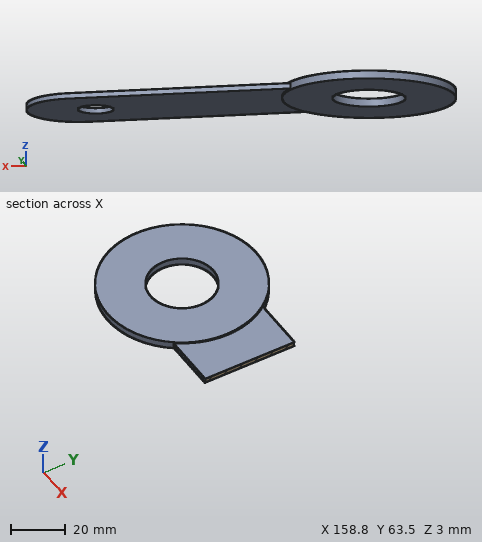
import cadquery as cq

total_length = 158.8
disc_diameter = 63.5
disc_thickness = 3.0
bore_diameter = 26.7

arm_width = 38.1
arm_thickness = 2.0
arm_hole_diameter = 13.0
arm_hole_to_tip = 25.4

tip_x = total_length - disc_diameter / 2
arm_end_centre_x = tip_x - arm_width / 2
arm_hole_x = tip_x - arm_hole_to_tip


def centred_cylinder(diameter, height, x=0.0):
    """Upright cylinder centred on the mid-plane Z = 0."""
    return cq.Workplane("XY").center(x, 0).circle(diameter / 2).extrude(height / 2, both=True)


disc = centred_cylinder(disc_diameter, disc_thickness)
arm_bar = cq.Workplane("XY").box(
    arm_end_centre_x, arm_width, arm_thickness, centered=(False, True, True)
)
arm_end = centred_cylinder(arm_width, arm_thickness, arm_end_centre_x)
body = disc.union(arm_bar).union(arm_end)

bore = centred_cylinder(bore_diameter, disc_thickness)
arm_hole = centred_cylinder(arm_hole_diameter, disc_thickness, arm_hole_x)

result = body.cut(bore).cut(arm_hole)